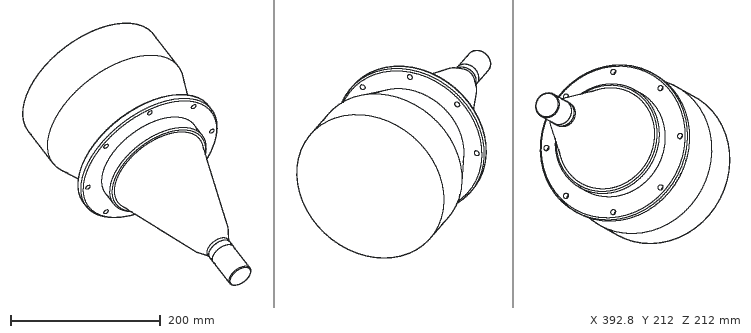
import cadquery as cq

total_length = 392.8
drum_end = 65.2
neck_start = 138.0
flange_start = 142.5
flange_end = 155.0
collar_end = 178.7
taper_end = 314.0
nose_end = 334.0
band_start = 338.5
band_end = 348.0

drum_radius = 106.0
flange_radius = drum_radius
neck_radius = 79.7
collar_radius = 75.0
taper_start_radius = 69.0
taper_end_radius = 28.0
band_radius = 17.3
band_height = 0.2
shaft_radius = band_radius - band_height

rim_chamfer = 2.5
shaft_chamfer = 1.0
neck_fillet = 3.0

hole_count = 8
hole_circle_radius = 96.2
hole_diameter = 7.0


def turned_body():
    """Revolve the half profile, given as (station, radius), about the X axis."""
    profile = (
        cq.Workplane("XZ")
        .moveTo(0, 0)
        .lineTo(0, drum_radius)
        .lineTo(drum_end, drum_radius)
        .lineTo(neck_start, neck_radius)
        .lineTo(flange_start - neck_fillet, neck_radius)
        .radiusArc((flange_start, neck_radius + neck_fillet), -neck_fillet)
        .lineTo(flange_start, flange_radius - rim_chamfer)
        .lineTo(flange_start + rim_chamfer, flange_radius)
        .lineTo(flange_end - rim_chamfer, flange_radius)
        .lineTo(flange_end, flange_radius - rim_chamfer)
        .lineTo(flange_end, collar_radius)
        .lineTo(collar_end - rim_chamfer, collar_radius)
        .lineTo(collar_end, collar_radius - rim_chamfer)
        .lineTo(collar_end, taper_start_radius)
        .lineTo(taper_end, taper_end_radius)
        .lineTo(nose_end, shaft_radius)
        .lineTo(band_start, shaft_radius)
        .lineTo(band_start, band_radius)
        .lineTo(band_end, band_radius)
        .lineTo(band_end, shaft_radius)
        .lineTo(total_length - shaft_chamfer, shaft_radius)
        .lineTo(total_length, shaft_radius - shaft_chamfer)
        .lineTo(total_length, 0)
        .close()
    )
    return profile.revolve(360, (0, 0, 0), (1, 0, 0))


def flange_holes():
    """Equally spaced cylinders spanning the flange thickness."""
    return (
        cq.Workplane("YZ", origin=(flange_start, 0, 0))
        .polarArray(hole_circle_radius, 0, 360, hole_count)
        .circle(hole_diameter / 2)
        .extrude(flange_end - flange_start)
    )


result = turned_body().cut(flange_holes())